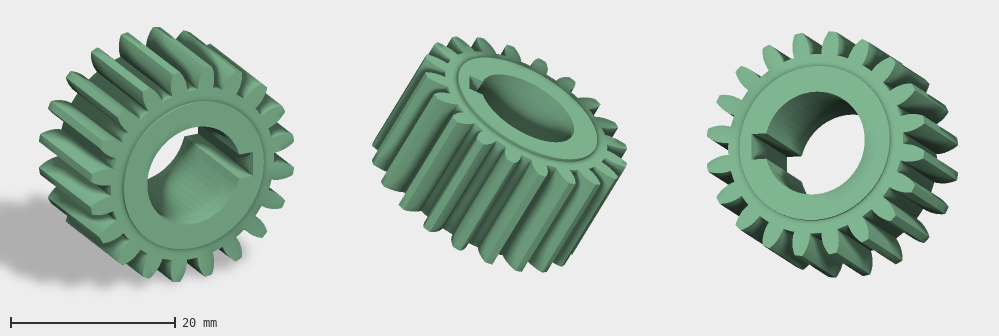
import cadquery as cq
import math

tooth_count = 20
tip_radius = 13.97
pitch_radius = 12.7
root_radius = 11.15

tip_half_angle = 2.0
pitch_half_angle = 4.45
root_half_angle = 5.25

total_width = 14.77
hub_rise = 0.35
face_width = total_width - 2 * hub_rise
hub_radius = 9.55
bore_radius = 6.38
keyway_width = 3.15
keyway_reach = 8.05

tooth_pitch = 360 / tooth_count


def polar(radius, angle):
    """Point in the YZ plane, with the angle in degrees from +Y."""
    turn = math.radians(angle)
    return (radius * math.cos(turn), radius * math.sin(turn))


def gear_outline():
    """Closed outline of arcs, with a tooth gap centred on +Y."""
    outline = cq.Workplane("YZ").moveTo(*polar(root_radius, tooth_pitch / 2 - root_half_angle))
    for index in range(tooth_count):
        middle = (index + 0.5) * tooth_pitch
        next_gap = middle + tooth_pitch / 2
        next_tooth = middle + tooth_pitch
        outline = outline.threePointArc(
            polar(pitch_radius, middle - pitch_half_angle),
            polar(tip_radius, middle - tip_half_angle),
        )
        outline = outline.threePointArc(
            polar(tip_radius, middle),
            polar(tip_radius, middle + tip_half_angle),
        )
        outline = outline.threePointArc(
            polar(pitch_radius, middle + pitch_half_angle),
            polar(root_radius, middle + root_half_angle),
        )
        outline = outline.threePointArc(
            polar(root_radius, next_gap),
            polar(root_radius, next_tooth - root_half_angle),
        )
    return outline.close()


toothed_body = gear_outline().extrude(face_width / 2, both=True)
hub = cq.Workplane("YZ").circle(hub_radius).extrude(total_width / 2, both=True)

bore = cq.Workplane("YZ").circle(bore_radius).extrude(total_width / 2, both=True)
keyway = (
    cq.Workplane("YZ")
    .center(keyway_reach / 2, 0)
    .rect(keyway_reach, keyway_width)
    .extrude(total_width / 2, both=True)
)

result = toothed_body.union(hub).cut(bore).cut(keyway)